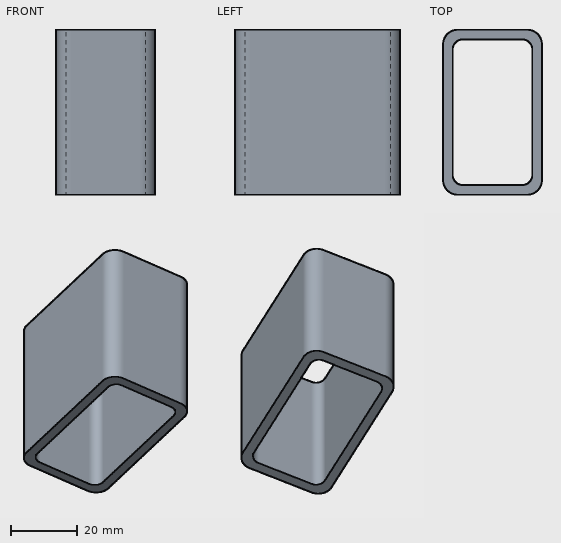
import cadquery as cq

width = 30.0
depth = 50.0
length = 50.0
wall = 3.0

outer_radius = 1.5 * wall
inner_radius = 1.0 * wall


def rounded_bar(size_x, size_y, corner_radius):
    """Solid bar along Z with its four long edges rounded."""
    return (
        cq.Workplane("XY")
        .rect(size_x, size_y)
        .extrude(length)
        .edges("|Z")
        .fillet(corner_radius)
    )


outer_bar = rounded_bar(width, depth, outer_radius)
bore = rounded_bar(width - 2 * wall, depth - 2 * wall, inner_radius)

result = outer_bar.cut(bore)